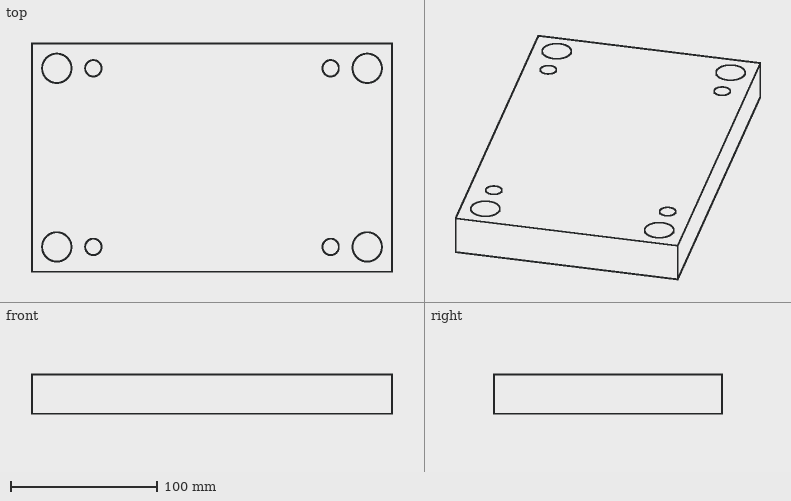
import cadquery as cq

length = 246.0
width = 156.0
thickness = 27.0

edge_inset = 17.0
corner_hole_diameter = 20.0
inner_hole_diameter = 11.0
inner_hole_spacing = 162.0

corner_hole_spacing = length - 2 * edge_inset
row_spacing = width - 2 * edge_inset


def drill_four(plate, spacing_x, diameter):
    """Drill a centred rectangle of four through holes on the two rows."""
    return (
        plate.faces(">Z")
        .workplane(origin=(0, 0, thickness))
        .rect(spacing_x, row_spacing, forConstruction=True)
        .vertices()
        .hole(diameter)
    )


plate = cq.Workplane("XY").box(length, width, thickness, centered=(True, True, False))
plate = drill_four(plate, corner_hole_spacing, corner_hole_diameter)
result = drill_four(plate, inner_hole_spacing, inner_hole_diameter)